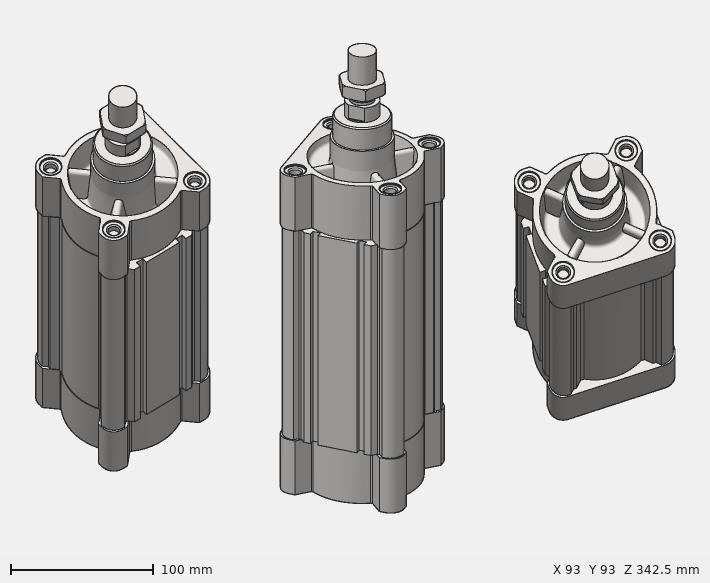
import cadquery as cq
import math

TOTAL_HEIGHT = 342.5

CAP_WIDTH = 93.0
CAP_HEIGHT = 43.0
CAP_WAIST_DIAMETER = 87.0
CORE_WIDTH = 75.5
CAP_LOBE_HALF_WIDTH = 10.3
LOBE_ROUNDING = 10.3
SPIGOT_DIAMETER = 45.0
REAR_SPIGOT_HEIGHT = 4.0
CAP_TOP = 258.0

TUBE_WIDTH = 90.8
TUBE_WAIST_DIAMETER = 86.5
TUBE_LOBE_HALF_WIDTH = 10.0
LEDGE_DEPTH = 3.0
LEDGE_START = 33.5
LAND_HALF_WIDTH = 25.5
LAND_X = 46.0
SLOT_INNER_Y = 14.7
SLOT_OUTER_Y = 20.2
SLOT_FLOOR_X = 41.8

SCREW_OFFSET = 36.0
RIM_DIAMETER = 15.8
RIM_DEPTH = 0.7
COUNTERBORE_DIAMETER = 15.0
COUNTERBORE_DEPTH = 1.5
SOCKET_DIAMETER = 8.2
SOCKET_DEPTH = 7.0
SOCKET_CHAMFER = 1.0

RECESS_RIM_RADIUS = 38.7
RECESS_DEPTH = 24.0
RECESS_FLOOR_OUTER_RADIUS = 35.3
RECESS_FLOOR_INNER_RADIUS = 25.0
RECESS_FILLET = 2.7
STEP_DEPTH = 7.0
STEP_FLOOR_OUTER_RADIUS = 37.0
STEP_FLOOR_INNER_RADIUS = 23.5
RIB_TOP_WIDTH = 4.8
RIB_BASE_WIDTH = 13.7
RIB_DROP = 1.7
RIB_ROUNDING = 2.7

SPIGOT_TOP = 274.0
COLLAR_TOP = 291.5
COLLAR_DIAMETER = 41.5
COLLAR_CHAMFER = 1.0

ROD_DIAMETER = 25.0
ROD_SHOULDER = 303.2
FLATS_START = 292.5
FLATS_WIDTH = 22.0
NECK_DIAMETER = 17.8
THREAD_DIAMETER = 20.0
THREAD_START = 308.5
UPPER_NECK_DIAMETER = 18.5
UPPER_NECK_START = 305.5

NUT_SIDES = 6
NUT_ACROSS_FLATS = 30.0
NUT_THICKNESS = 9.5
NUT_BOTTOM = 310.5
NUT_CHAMFER = 1.0

CAP_HALF = CAP_WIDTH / 2
TUBE_HALF = TUBE_WIDTH / 2
CAP_STRIP_OFFSET = CAP_LOBE_HALF_WIDTH * math.sqrt(2)
TUBE_STRIP_OFFSET = TUBE_LOBE_HALF_WIDTH * math.sqrt(2)
REAR_CAP_TOP = REAR_SPIGOT_HEIGHT + CAP_HEIGHT
FRONT_CAP_BOTTOM = CAP_TOP - CAP_HEIGHT
SPIGOT_RADIUS = SPIGOT_DIAMETER / 2
ROD_BOTTOM = FRONT_CAP_BOTTOM
LOBE_ROOT = CAP_WAIST_DIAMETER / 4
CORNER_ANGLES = (0, 90, 180, 270)


def cylinder(diameter, bottom, top):
    return cq.Workplane("XY").workplane(offset=bottom).circle(diameter / 2).extrude(top - bottom)


def lobed_block(half_lobe, corner, waist_diameter, bottom, top):
    """Round waist and square core with a rounded lobe at every corner.

    half_lobe runs from the middle of the block to the outer side; swapping X and Y gives the other half.
    """
    outline = half_lobe + [(corner, corner)] + [(y, x) for x, y in reversed(half_lobe)]
    height = top - bottom
    lobe = cq.Workplane("XY").workplane(offset=bottom).polyline(outline).close().extrude(height)
    outer_edge = cq.selectors.NearestToPointSelector((corner, corner, bottom + height / 2))
    lobe = lobe.edges(outer_edge).fillet(LOBE_ROUNDING)
    core = cq.Workplane("XY").workplane(offset=bottom).rect(CORE_WIDTH, CORE_WIDTH).extrude(height)
    screw_circle = 2 * math.hypot(SCREW_OFFSET, SCREW_OFFSET)
    block = cylinder(waist_diameter, bottom, top).union(core.intersect(cylinder(screw_circle, bottom, top)))
    for angle in CORNER_ANGLES:
        block = block.union(lobe.rotate((0, 0, 0), (0, 0, 1), angle))
    return block


def make_cap(bottom):
    """Cap outline: four lobes on a round waist, with the +Y side filled in flat."""
    top = bottom + CAP_HEIGHT
    half_lobe = [(LOBE_ROOT, LOBE_ROOT - CAP_STRIP_OFFSET), (CAP_HALF, CAP_HALF - CAP_STRIP_OFFSET)]
    cap = lobed_block(half_lobe, CAP_HALF, CAP_WAIST_DIAMETER, bottom, top)
    flat_side = (
        cq.Workplane("XY").workplane(offset=bottom).center(0, (CAP_HALF + LOBE_ROOT) / 2)
        .rect(2 * SCREW_OFFSET, CAP_HALF - LOBE_ROOT).extrude(CAP_HEIGHT)
    )
    return cap.union(flat_side)


def make_tube():
    ledge = TUBE_HALF - LEDGE_DEPTH
    half_lobe = [
        (LOBE_ROOT, LOBE_ROOT - TUBE_STRIP_OFFSET),
        (ledge, ledge - TUBE_STRIP_OFFSET),
        (ledge, LEDGE_START - LEDGE_DEPTH),
        (TUBE_HALF, LEDGE_START),
    ]
    tube = lobed_block(half_lobe, TUBE_HALF, TUBE_WAIST_DIAMETER, REAR_CAP_TOP, FRONT_CAP_BOTTOM)
    length = FRONT_CAP_BOTTOM - REAR_CAP_TOP
    land_foot_x = ledge
    land_foot_y = LAND_HALF_WIDTH + LAND_X - ledge
    land = (
        cq.Workplane("XY").workplane(offset=REAR_CAP_TOP)
        .moveTo(-LAND_X, -LAND_HALF_WIDTH)
        .lineTo(-land_foot_x, -land_foot_y)
        .lineTo(land_foot_x, -land_foot_y)
        .lineTo(LAND_X, -LAND_HALF_WIDTH)
        .lineTo(LAND_X, LAND_HALF_WIDTH)
        .lineTo(land_foot_x, land_foot_y)
        .lineTo(-land_foot_x, land_foot_y)
        .lineTo(-LAND_X, LAND_HALF_WIDTH)
        .close().extrude(length)
    )
    tube = tube.union(land)
    slot_x = (LAND_X + SLOT_FLOOR_X) / 2
    slot_y = (SLOT_INNER_Y + SLOT_OUTER_Y) / 2
    slots = (
        cq.Workplane("XY").workplane(offset=REAR_CAP_TOP)
        .rect(2 * slot_x, 2 * slot_y, forConstruction=True).vertices()
        .rect(LAND_X - SLOT_FLOOR_X, SLOT_OUTER_Y - SLOT_INNER_Y).extrude(length)
    )
    return tube.cut(slots)


def annular_pocket(floor_inner, floor_outer, depth):
    """Ring-shaped pocket with drafted walls and rounded floor corners."""
    floor = CAP_TOP - depth
    ring = (
        cq.Workplane("XZ")
        .moveTo(SPIGOT_RADIUS, CAP_TOP)
        .lineTo(floor_inner, floor)
        .lineTo(floor_outer, floor)
        .lineTo(RECESS_RIM_RADIUS, CAP_TOP)
        .close().revolve(360, (0, 0, 0), (0, 1, 0))
    )
    return ring.faces("<Z").edges().fillet(RECESS_FILLET)


def make_ribs():
    """Two crossing drafted bars with rounded tops, set along the diagonals."""
    base = CAP_TOP - RECESS_DEPTH
    top = CAP_TOP - RIB_DROP
    bar = (
        cq.Workplane("YZ")
        .polyline([
            (-RIB_BASE_WIDTH / 2, base),
            (RIB_BASE_WIDTH / 2, base),
            (RIB_TOP_WIDTH / 2, top),
            (-RIB_TOP_WIDTH / 2, top),
        ])
        .close().extrude(CAP_HALF, both=True)
        .edges(">Z and |X").fillet(RIB_ROUNDING)
    )
    return bar.rotate((0, 0, 0), (0, 0, 1), 45).union(bar.rotate((0, 0, 0), (0, 0, 1), -45))


def cut_front_recess(cap):
    deep = annular_pocket(RECESS_FLOOR_INNER_RADIUS, RECESS_FLOOR_OUTER_RADIUS, RECESS_DEPTH)
    shallow = annular_pocket(STEP_FLOOR_INNER_RADIUS, STEP_FLOOR_OUTER_RADIUS, STEP_DEPTH)
    sector = (
        cq.Workplane("XY").workplane(offset=FRONT_CAP_BOTTOM)
        .polyline([(0, 0), (CAP_HALF, CAP_HALF), (-CAP_HALF, CAP_HALF)]).close().extrude(CAP_HEIGHT)
    )
    pocket = deep.cut(sector).union(shallow.intersect(sector))
    return cap.cut(pocket.cut(make_ribs()))


def cut_screw_sockets(cap):
    rim_floor = CAP_TOP - RIM_DEPTH
    floor = CAP_TOP - COUNTERBORE_DEPTH
    mouth_radius = SOCKET_DIAMETER / 2 + SOCKET_CHAMFER
    socket = (
        cq.Workplane("XZ")
        .moveTo(0, CAP_TOP)
        .lineTo(RIM_DIAMETER / 2, CAP_TOP)
        .lineTo(RIM_DIAMETER / 2, rim_floor)
        .lineTo(COUNTERBORE_DIAMETER / 2, rim_floor)
        .lineTo(COUNTERBORE_DIAMETER / 2, floor)
        .lineTo(mouth_radius, floor)
        .lineTo(SOCKET_DIAMETER / 2, floor - SOCKET_CHAMFER)
        .lineTo(SOCKET_DIAMETER / 2, CAP_TOP - SOCKET_DEPTH)
        .lineTo(0, CAP_TOP - SOCKET_DEPTH)
        .close().revolve(360, (0, 0, 0), (0, 1, 0))
    )
    for x in (-SCREW_OFFSET, SCREW_OFFSET):
        for y in (-SCREW_OFFSET, SCREW_OFFSET):
            cap = cap.cut(socket.translate((x, y, 0)))
    return cap


def make_rod():
    rod = cylinder(ROD_DIAMETER, ROD_BOTTOM, ROD_SHOULDER)
    flats = (
        cq.Workplane("XY").workplane(offset=FLATS_START)
        .rect(FLATS_WIDTH, ROD_DIAMETER).extrude(ROD_SHOULDER - FLATS_START)
    )
    rod = rod.intersect(cylinder(ROD_DIAMETER, ROD_BOTTOM, FLATS_START).union(flats))
    rod = rod.union(cylinder(NECK_DIAMETER, ROD_SHOULDER, UPPER_NECK_START))
    rod = rod.union(cylinder(UPPER_NECK_DIAMETER, UPPER_NECK_START, THREAD_START))
    return rod.union(cylinder(THREAD_DIAMETER, THREAD_START, TOTAL_HEIGHT))


def make_housing():
    front_cap = cut_screw_sockets(cut_front_recess(make_cap(FRONT_CAP_BOTTOM)))
    collar = cylinder(COLLAR_DIAMETER, SPIGOT_TOP, COLLAR_TOP).faces(">Z").edges().chamfer(COLLAR_CHAMFER)
    housing = (
        make_tube()
        .union(make_cap(REAR_SPIGOT_HEIGHT))
        .union(front_cap)
        .union(cylinder(SPIGOT_DIAMETER, 0, REAR_SPIGOT_HEIGHT))
        .union(cylinder(SPIGOT_DIAMETER, CAP_TOP, SPIGOT_TOP))
        .union(collar)
    )
    return housing.cut(cylinder(ROD_DIAMETER, ROD_BOTTOM, COLLAR_TOP))


def make_nut():
    top = NUT_BOTTOM + NUT_THICKNESS
    hexagon = (
        cq.Workplane("XY").workplane(offset=NUT_BOTTOM)
        .polygon(NUT_SIDES, NUT_ACROSS_FLATS, circumscribed=True).extrude(NUT_THICKNESS)
    )
    across_corners = NUT_ACROSS_FLATS / math.cos(math.pi / NUT_SIDES)
    corner_trim = cylinder(across_corners, NUT_BOTTOM, top).faces("|Z").edges().chamfer(NUT_CHAMFER)
    return hexagon.intersect(corner_trim).cut(cylinder(THREAD_DIAMETER, NUT_BOTTOM, top))


housing = make_housing()
piston_rod = make_rod()
lock_nut = make_nut()

result = cq.Compound.makeCompound([housing.val(), piston_rod.val(), lock_nut.val()])